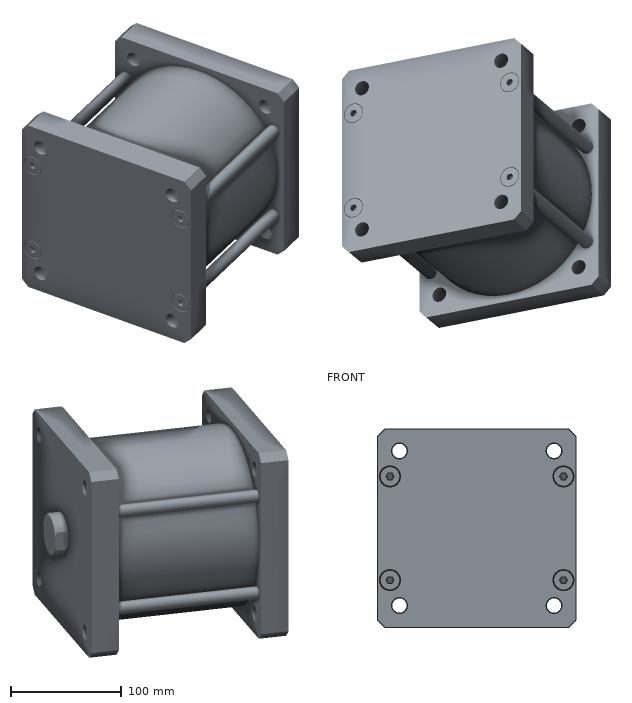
import cadquery as cq

total_length = 199.0
plate_side = 180.0
plate_thickness = 26.0
plate_corner_chamfer = 7.0
rod_projection = 12.0

barrel_diameter = 167.0
tie_rod_diameter = 12.0
tie_rod_x = 78.6
tie_rod_z = 47.0

mounting_hole_diameter = 14.0
mounting_hole_offset = 70.0

counterbore_diameter = 19.0
screw_head_diameter = 18.0
screw_head_height = 12.0
hex_side_count = 6
hex_corner_diameter = 7.0
hex_depth = 6.0

piston_rod_diameter = 40.0
piston_rod_chamfer = 1.5
flat_width = 36.0
flat_length = 10.0

front_y = -total_length / 2
barrel_start_y = front_y + plate_thickness
rear_y = total_length / 2 - rod_projection
barrel_end_y = rear_y - plate_thickness
barrel_length = barrel_end_y - barrel_start_y

tie_rod_points = [(x, z) for x in (-tie_rod_x, tie_rod_x) for z in (-tie_rod_z, tie_rod_z)]
mounting_hole_points = [
    (x, z)
    for x in (-mounting_hole_offset, mounting_hole_offset)
    for z in (-mounting_hole_offset, mounting_hole_offset)
]


def plane_at(y):
    """Sketch plane with local axes X and Z whose normal points along +Y."""
    return cq.Workplane(cq.Plane(origin=(0, y, 0), xDir=(1, 0, 0), normal=(0, 1, 0)))


def end_plate(start_y):
    """Square plate with chamfered corners and four through mounting holes."""
    plate = plane_at(start_y).rect(plate_side, plate_side).extrude(plate_thickness)
    plate = plate.edges("|Y").chamfer(plate_corner_chamfer)
    holes = plane_at(start_y).pushPoints(mounting_hole_points)
    return plate.cut(holes.circle(mounting_hole_diameter / 2).extrude(plate_thickness))


def barrel():
    """Cylinder barrel between the two plates."""
    return plane_at(barrel_start_y).circle(barrel_diameter / 2).extrude(barrel_length)


def tie_rods():
    """Four tie rods that span the gap between the plates."""
    rods = plane_at(barrel_start_y).pushPoints(tie_rod_points)
    return rods.circle(tie_rod_diameter / 2).extrude(barrel_length)


def screw_clearance_rings():
    """Narrow gaps between the flush screw heads and their counterbores."""
    rings = plane_at(front_y).pushPoints(tie_rod_points)
    rings = rings.circle(counterbore_diameter / 2).circle(screw_head_diameter / 2)
    return rings.extrude(screw_head_height)


def hex_sockets():
    """Hexagon sockets in the screw heads."""
    sockets = plane_at(front_y).pushPoints(tie_rod_points)
    return sockets.polygon(hex_side_count, hex_corner_diameter).extrude(hex_depth)


def piston_rod_end():
    """Chamfered rod stub with two opposite flats that run out at 45 degrees."""
    rod_radius = piston_rod_diameter / 2
    tip_y = rear_y + rod_projection
    stub = plane_at(rear_y).circle(rod_radius).extrude(rod_projection)
    stub = stub.faces(">Y").chamfer(piston_rod_chamfer)
    flat_end_y = tip_y - flat_length
    flat_x = flat_width / 2
    runout = rod_radius - flat_x
    flat_profile = [
        (flat_x, tip_y),
        (flat_x, flat_end_y),
        (rod_radius, flat_end_y - runout),
        (rod_radius, tip_y),
    ]
    flat_cut = cq.Workplane("XY").polyline(flat_profile).close().extrude(rod_radius, both=True)
    return stub.cut(flat_cut).cut(flat_cut.mirror("YZ"))


front_plate = end_plate(front_y).cut(screw_clearance_rings()).cut(hex_sockets())
rear_plate = end_plate(barrel_end_y)

result = front_plate.union(barrel()).union(tie_rods()).union(rear_plate).union(piston_rod_end())